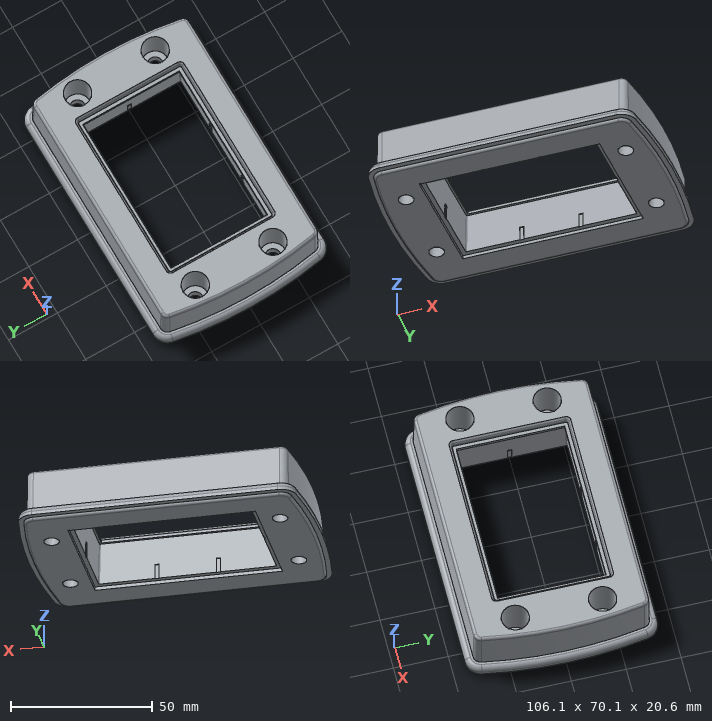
import cadquery as cq
import math

LENGTH = 106.1
WIDTH = 70.1
HEIGHT = 20.6

END_BOW_RADIUS = 169.7
CORNER_RADIUS = 5.8

BASE_INSET = 1.9
BASE_HEIGHT = 1.1
BASE_FILLET = 1.0

FLANGE_TOP = 4.5
FLANGE_FILLET = 2.0

HOUSING_INSET = 3.0
HOUSING_DRAFT = 0.9
HOUSING_TOP_FILLET = 1.1

WINDOW_LENGTH = 62.0
WINDOW_WIDTH = 39.5
LEDGE = 1.4
RECESS_LENGTH = WINDOW_LENGTH + 2 * LEDGE
RECESS_WIDTH = WINDOW_WIDTH + 2 * LEDGE
RECESS_DEPTH = 2.2
RECESS_CORNER_RADIUS = 0.6
RIM_DEPTH = 1.1
RIM_ANGLE = 45
RIM_BOTTOM = HEIGHT - RIM_DEPTH
SHOULDER_RADIUS = 1.3
EDGE_TOLERANCE = 0.1
LIP_THICKNESS = 1.2
LIP_TOP = HEIGHT - RECESS_DEPTH
LIP_BOTTOM = LIP_TOP - LIP_THICKNESS
OPENING_OFFSET = 1.3
OPENING_DRAFT = 1.5
OPENING_CORNER_RADIUS = 0.27

REBATE_DEPTH = 1.4
REBATE_MARGIN = 1.7

GROOVE_WIDTH = 1.5
GROOVE_DEPTH = 0.16
GROOVE_TOP = 6.9
GROOVE_X = 11.1

HOLE_X = 41.4
HOLE_Y = 15.9
HOLE_DIAMETER = 5.5
COUNTERBORE_DIAMETER = 10.0


def slab(inset, bottom, top, draft=0):
    """Slab of the body outline, moved inward by inset and narrowing upward by the draft angle."""
    core_length = LENGTH / 2 - CORNER_RADIUS
    core_width = WIDTH / 2 - CORNER_RADIUS
    bow_radius = END_BOW_RADIUS - CORNER_RADIUS
    bow_height = bow_radius - math.sqrt(bow_radius**2 - core_width**2)
    corner_x = core_length - bow_height
    outline = (
        cq.Workplane("XY", origin=(0, 0, bottom))
        .moveTo(-corner_x, -core_width)
        .lineTo(corner_x, -core_width)
        .threePointArc((core_length, 0), (corner_x, core_width))
        .lineTo(-corner_x, core_width)
        .threePointArc((-core_length, 0), (-corner_x, -core_width))
        .close()
        .offset2D(CORNER_RADIUS - inset)
    )
    return outline.extrude(top - bottom, taper=draft)


def block(length, width, bottom, top, draft=0):
    """Rectangular block centred on the Z axis, narrowing upward by the draft angle."""
    base = cq.Workplane("XY", origin=(0, 0, bottom)).rect(length, width)
    return base.extrude(top - bottom, taper=draft)


def make_body():
    base = slab(BASE_INSET, 0, BASE_HEIGHT).faces("<Z").edges().fillet(BASE_FILLET)
    flange = slab(0, BASE_HEIGHT, FLANGE_TOP).faces(">Z").edges().fillet(FLANGE_FILLET)
    housing = slab(HOUSING_INSET, FLANGE_TOP, HEIGHT, HOUSING_DRAFT)
    housing = housing.faces(">Z").edges().fillet(HOUSING_TOP_FILLET)
    return base.union(flange).union(housing)


def make_recess():
    """Recess above the lip: straight wall below, sloped rim above."""
    core_length = RECESS_LENGTH - 2 * RECESS_CORNER_RADIUS
    core_width = RECESS_WIDTH - 2 * RECESS_CORNER_RADIUS
    wall = block(RECESS_LENGTH, RECESS_WIDTH, LIP_TOP, HEIGHT).edges("|Z").fillet(RECESS_CORNER_RADIUS)
    rim = (
        cq.Workplane("XY", origin=(0, 0, RIM_BOTTOM))
        .rect(core_length, core_width)
        .offset2D(RECESS_CORNER_RADIUS)
        .extrude(RIM_DEPTH, taper=-RIM_ANGLE)
    )
    return wall.union(rim)


def round_shoulder(body):
    """Round the edge where the recess wall meets the sloped rim."""
    shoulder = cq.selectors.BoxSelector(
        (-RECESS_LENGTH, -RECESS_WIDTH, RIM_BOTTOM - EDGE_TOLERANCE),
        (RECESS_LENGTH, RECESS_WIDTH, RIM_BOTTOM + EDGE_TOLERANCE),
    )
    return body.edges(shoulder).fillet(SHOULDER_RADIUS)


def make_opening():
    """Drafted opening below the lip, with grooves in its walls and a rebate at its foot."""
    length = WINDOW_LENGTH + 2 * OPENING_OFFSET
    width = WINDOW_WIDTH + 2 * OPENING_OFFSET
    opening = block(length, width, 0, LIP_BOTTOM, OPENING_DRAFT)
    opening = opening.edges("not(|X or |Y)").fillet(OPENING_CORNER_RADIUS)
    rebate = block(length + 2 * REBATE_MARGIN, width + 2 * REBATE_MARGIN, 0, REBATE_DEPTH)
    end_grooves = block(length + 2 * GROOVE_DEPTH, GROOVE_WIDTH, 0, GROOVE_TOP)
    opening = opening.union(rebate).union(end_grooves)
    for x in (-GROOVE_X, GROOVE_X):
        side_grooves = block(GROOVE_WIDTH, width + 2 * GROOVE_DEPTH, 0, GROOVE_TOP)
        opening = opening.union(side_grooves.translate((x, 0, 0)))
    return opening


def make_screw_holes():
    centres = [(x, y) for x in (-HOLE_X, HOLE_X) for y in (-HOLE_Y, HOLE_Y)]
    through = cq.Workplane("XY").pushPoints(centres).circle(HOLE_DIAMETER / 2).extrude(HEIGHT)
    seats = cq.Workplane("XY", origin=(0, 0, FLANGE_TOP)).pushPoints(centres)
    seats = seats.circle(COUNTERBORE_DIAMETER / 2).extrude(HEIGHT - FLANGE_TOP)
    return through.union(seats)


result = (
    round_shoulder(make_body().cut(make_recess()))
    .cut(block(WINDOW_LENGTH, WINDOW_WIDTH, 0, HEIGHT))
    .cut(make_opening())
    .cut(make_screw_holes())
)